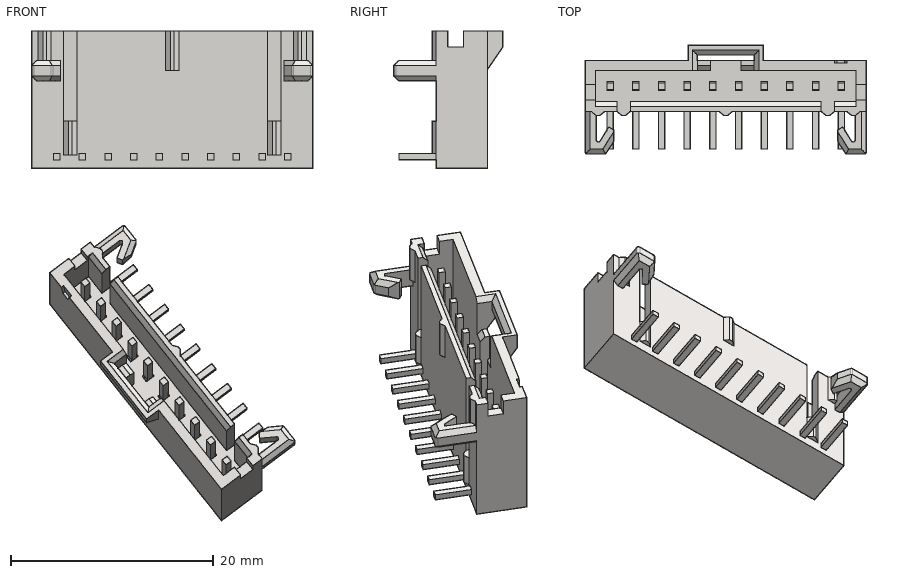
import cadquery as cq
import math


length = 27.8
depth = 5.1
height = 13.6
end_wall = 1.0
back_wall = 1.0
front_wall = 1.0
floor_top = 4.67
lead_in = 0.5

latch_back = 6.6
latch_width = 7.45
latch_opening_width = 5.6
latch_opening_back = 5.6
latch_ramp_top = 12.0
latch_ramp_bottom = 9.8
latch_notch_width = 3.05
latch_bar_bottom = 12.15

end_notch_front = 1.17
end_notch_back = 2.7
end_notch_floor = 12.01
slot_x = 10.1
slot_width = 1.3

mark_x = 11.37
mark_width = 1.28
mark_floor_width = 0.78
mark_depth = 0.28
mark_height = 1.67

rib_width = slot_width
rib_flat = 0.33
rib_height = 0.4
upper_rib_bottom = 9.68
lower_rib_bottom = 1.33
end_rib_x = 12.63

hook_bottom = 8.65
hook_top = 10.68
hook_reach = 4.2
hook_end_width = 2.03
hook_span = 2.85
hook_thickness = 1.1
barb_thickness = 1.17
hook_angle = 58.0
hook_tip_y = -1.5
hook_chamfer = 0.5
hook_corner_radius = 0.25
hook_slot_radius = 0.2

pin_count = 10
pin_row_span = 22.85
pin_pitch = pin_row_span / (pin_count - 1)
pin_size = 0.65
pin_shoulder_depth = 0.92
pin_shoulder_height = 0.28
pin_top = 11.12
pin_tail_z = 1.17
pin_tail_reach = 3.7


def block(x_min, x_max, y_min, y_max, z_min, z_max):
    """Box given by its limits on each axis."""
    size = (x_max - x_min, y_max - y_min, z_max - z_min)
    return cq.Workplane("XY").box(*size, centered=False).translate((x_min, y_min, z_min))


def centered_block(x, width, y_min, y_max, z_min, z_max):
    """Box of a given width, centred on x."""
    return block(x - width / 2, x + width / 2, y_min, y_max, z_min, z_max)


def mirrored(shape):
    """The shape together with its mirror image across the middle of the length."""
    return shape.union(shape.mirror("YZ"))


def cavity():
    """Mating cavity, widened along its front edge by the lead-in chamfer."""
    profile = (
        cq.Workplane("YZ")
        .moveTo(front_wall, floor_top)
        .lineTo(depth - back_wall, floor_top)
        .lineTo(depth - back_wall, height)
        .lineTo(front_wall - lead_in, height)
        .lineTo(front_wall, height - lead_in)
        .close()
    )
    return profile.extrude(length / 2 - end_wall, both=True)


def latch_frame():
    """Frame standing out from the back wall above a ramp."""
    profile = (
        cq.Workplane("YZ")
        .moveTo(depth - back_wall, height)
        .lineTo(latch_back, height)
        .lineTo(latch_back, latch_ramp_top)
        .lineTo(depth, latch_ramp_bottom)
        .lineTo(depth - back_wall, latch_ramp_bottom)
        .close()
    )
    return profile.extrude(latch_width / 2, both=True)


def latch_opening():
    """Opening through the frame with a chamfered mouth and a narrower notch down to the floor."""
    cavity_back = depth - back_wall
    mid_y = depth / 2
    opening = centered_block(0, latch_opening_width, mid_y, latch_opening_back, latch_ramp_bottom, height)
    opening = opening.union(latch_mouth(mid_y))
    ledge_chamfer = (
        cq.Workplane("YZ")
        .moveTo(cavity_back, latch_ramp_bottom)
        .lineTo(cavity_back + lead_in, latch_ramp_bottom)
        .lineTo(cavity_back, latch_ramp_bottom - lead_in)
        .close()
        .extrude(latch_opening_width / 2, both=True)
    )
    notch = centered_block(0, latch_notch_width, mid_y, latch_back, floor_top, latch_ramp_bottom)
    below_bar = centered_block(0, latch_opening_width, mid_y, latch_back, latch_ramp_bottom, latch_bar_bottom)
    return opening.union(ledge_chamfer).union(notch).union(below_bar)


def latch_mouth(front_y):
    """45 degree widening around the top of the latch opening."""
    top_half_width = latch_opening_width / 2 + lead_in
    top_back = latch_opening_back + lead_in
    top_depth = 2 * (top_back - front_y)
    mouth = (
        cq.Workplane("XY", origin=(0, front_y, height))
        .rect(2 * top_half_width, top_depth)
        .extrude(-lead_in, taper=45)
    )
    return mouth.intersect(block(-length, length, front_y, latch_back, floor_top, height))


def end_notches():
    """Rectangular cut-out across the top of both end walls."""
    return block(-length, length, end_notch_front, end_notch_back, end_notch_floor, height)


def front_slots():
    """Slots through the front wall, level with the cavity floor."""
    return mirrored(centered_block(slot_x, slot_width, 0, front_wall, floor_top, height))


def pin_one_mark():
    """Shallow tapered recess at the top of the back face."""
    return (
        cq.Workplane("XZ", origin=(mark_x, depth, height))
        .moveTo(-mark_width / 2, 0)
        .lineTo(mark_width / 2, 0)
        .lineTo(mark_floor_width / 2, -mark_height)
        .lineTo(-mark_floor_width / 2, -mark_height)
        .close()
        .extrude(mark_depth)
    )


def rib(x, z_min, z_max):
    """Vertical rib with sloping flanks on the front face."""
    return (
        cq.Workplane("XY", origin=(x, 0, z_min))
        .moveTo(-rib_width / 2, 0)
        .lineTo(-rib_flat / 2, -rib_height)
        .lineTo(rib_flat / 2, -rib_height)
        .lineTo(rib_width / 2, 0)
        .close()
        .extrude(z_max - z_min)
    )


def front_ribs():
    """Three ribs from the top edge and one short rib below each front slot."""
    ribs = rib(0, upper_rib_bottom, height)
    ribs = ribs.union(mirrored(rib(end_rib_x, upper_rib_bottom, height)))
    return ribs.union(mirrored(rib(slot_x, lower_rib_bottom, floor_top)))


def left_hook():
    """V-shaped hook: an arm along the end face and a barb arm folded back inward."""
    hook_height = hook_top - hook_bottom
    outer_x = -length / 2
    arm_dx = math.cos(math.radians(hook_angle))
    arm_dy = math.sin(math.radians(hook_angle))
    slope = arm_dy / arm_dx
    corner_x = outer_x + hook_end_width

    wedge = (
        cq.Workplane("XY", origin=(0, 0, hook_bottom))
        .moveTo(outer_x, 0)
        .lineTo(outer_x, -hook_reach)
        .lineTo(corner_x, -hook_reach)
        .lineTo(corner_x + hook_reach / slope, 0)
        .close()
        .extrude(hook_height)
    )
    rounded = wedge.edges("|Z and <Y").fillet(hook_corner_radius)
    beveled = wedge.faces("<Z or >Z").edges("not >Y").chamfer(hook_chamfer)
    hook = rounded.intersect(beveled)

    inner_x = outer_x + hook_thickness
    barb_x = corner_x - barb_thickness * arm_dy
    barb_y = -hook_reach + barb_thickness * arm_dx
    gap_y = barb_y + (inner_x - barb_x) * slope
    tip_x = inner_x + (hook_tip_y - gap_y) / slope
    end_x = outer_x + hook_span
    end_y = hook_tip_y - (end_x - tip_x) / slope
    gap = (
        cq.Workplane("XY", origin=(0, 0, hook_bottom))
        .moveTo(inner_x, 0)
        .lineTo(inner_x, gap_y)
        .lineTo(tip_x, hook_tip_y)
        .lineTo(end_x, end_y)
        .lineTo(end_x, -hook_reach)
        .lineTo(0, -hook_reach)
        .lineTo(0, 0)
        .close()
        .extrude(hook_height)
    )
    gap_root = cq.selectors.NearestToPointSelector((inner_x, gap_y, (hook_bottom + hook_top) / 2))
    gap = gap.edges("|Z").edges(gap_root).fillet(hook_slot_radius)
    return hook.cut(gap)


def pin(x):
    """Right-angle pin: a shouldered post in the cavity and a tail out of the front face."""
    mid_y = depth / 2
    half = pin_size / 2
    shoulder_half = pin_shoulder_depth / 2
    shoulder_top = floor_top + pin_shoulder_height
    post = centered_block(x, pin_size, mid_y - half, mid_y + half, pin_tail_z, pin_top)
    shoulder = centered_block(
        x, pin_size, mid_y - shoulder_half, mid_y + shoulder_half, floor_top, shoulder_top
    )
    tail = centered_block(x, pin_size, -pin_tail_reach, mid_y, pin_tail_z - half, pin_tail_z + half)
    return post.union(shoulder).union(tail)


result = block(-length / 2, length / 2, 0, depth, 0, height).union(latch_frame())
for opening in (cavity(), latch_opening(), end_notches(), front_slots(), pin_one_mark()):
    result = result.cut(opening)

result = result.union(front_ribs()).union(mirrored(left_hook()))

for index in range(pin_count):
    result = result.union(pin(index * pin_pitch - pin_row_span / 2))